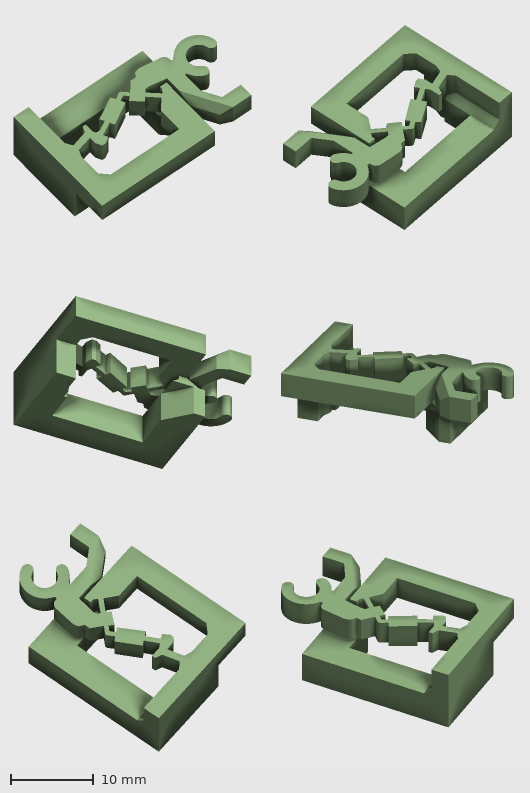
import cadquery as cq
import math

WIDTH = 16.95
LENGTH = 26.07
HEIGHT = 8.0

TIER_THICKNESS = 3.0
CLEARANCE = 1.004
TIER_BOTTOM = HEIGHT - TIER_THICKNESS
BASE_TOP = TIER_BOTTOM - CLEARANCE

BASE_WIDTH = 11.68
BASE_LENGTH = 20.0
BASE_SPINE_WIDTH = 3.73
BASE_WINDOW_FRONT = 3.34
BASE_WINDOW_BACK = 15.5
BASE_BACK_CORNER = 8.68

FRONT_BAR = 2.32
WINDOW_FRONT = 2.63
WINDOW_BACK = 14.36
WINDOW_RIGHT = 14.0
WINDOW_CORNER = 1.1
FRAME_BACK = 17.52
FRAME_LEFT = 7.66

SUPPORT_FRONT = 16.5
SUPPORT_STEP = 4.5
SUPPORT_FOOT_FRONT = 15.65
SUPPORT_FOOT_BACK = 19.15

HOOK_MID_RADIUS = 2.32
HOOK_TIP_RADIUS = 0.73
HOOK_OUTER_RADIUS = HOOK_MID_RADIUS + HOOK_TIP_RADIUS
HOOK_INNER_RADIUS = HOOK_MID_RADIUS - HOOK_TIP_RADIUS
HOOK_X = 7.05
HOOK_START = 102.0
HOOK_END = 334.0
HOOK_Y = LENGTH - HOOK_TIP_RADIUS - HOOK_MID_RADIUS * math.sin(math.radians(HOOK_START))

ARM_FRONT = 17.95
ARM_LEFT = 13.58
ARM_RIGHT = 15.56
ARM_TIP = 24.3
ARM_BEND_X = 11.24
ARM_INNER_BEND_Y = 21.38
ARM_OUTER_BEND = (ARM_RIGHT, 21.45)
ARM_END_CORNER = (14.9, 19.95)
ARM_ANGLE = math.atan2(ARM_INNER_BEND_Y - BASE_LENGTH, ARM_LEFT - ARM_BEND_X)
ARM_UNDERCUT_X = ARM_END_CORNER[0] - (ARM_END_CORNER[1] - ARM_FRONT) / math.tan(ARM_ANGLE)


def prism(points, bottom, top):
    return cq.Workplane("XY").workplane(offset=bottom).polyline(points).close().extrude(top - bottom)


def tier_prism(points):
    """Upright prism filling the upper tier."""
    return prism(points, TIER_BOTTOM, HEIGHT)


def side_prism(profile, left, right):
    """Prism along X from a profile of (Y, Z) points."""
    return cq.Workplane("YZ").workplane(offset=left).polyline(profile).close().extrude(right - left)


def hook_point(radius, angle):
    angle = math.radians(angle)
    return (HOOK_X + radius * math.cos(angle), HOOK_Y + radius * math.sin(angle))


ROOT_LEFT = (7.82, 2.92)
ROOT_RIGHT = (8.75, 3.0)
ROOT_SLOPE_LEFT = (6.85, FRONT_BAR)
ROOT_SLOPE_RIGHT = (9.78, WINDOW_FRONT)
BLOCK_FRONT_LEFT = (7.22, 5.2)
BLOCK_FRONT_RIGHT = (8.2, 5.2)
BLOCK_BACK_LEFT = (8.32, 6.35)
BLOCK_BACK_RIGHT = (8.9, 6.67)
COUPLER_FRONT_LEFT = (7.4, 8.15)
COUPLER_FRONT_RIGHT = (7.98, 8.45)
COUPLER_BACK_LEFT = (5.74, 11.24)
COUPLER_BACK_RIGHT = (6.25, 11.5)
BODY_FRONT_LEFT = (6.05, 13.2)
BODY_FRONT_RIGHT = (6.45, 12.77)
BODY_SIDE_FRONT = (7.7, 14.2)
BODY_SIDE_BACK = (7.22, 14.6)
FRAME_FLEX_FRONT = (9.05, 15.62)
FRAME_FLEX_BACK = (8.6, 16.1)


def base():
    front_bar = [(0, 0), (BASE_WIDTH, 0), (BASE_WIDTH, WINDOW_FRONT), ROOT_SLOPE_RIGHT, ROOT_RIGHT]
    spine_outline = [
        ROOT_LEFT, (ROOT_LEFT[0], BASE_WINDOW_FRONT),
        (BASE_SPINE_WIDTH, BASE_WINDOW_FRONT), (BASE_SPINE_WIDTH, BASE_WINDOW_BACK),
        (BASE_BACK_CORNER, BASE_WINDOW_BACK),
        (BASE_WIDTH, BASE_WINDOW_BACK + BASE_WIDTH - BASE_BACK_CORNER),
        (BASE_WIDTH, BASE_LENGTH), (0, BASE_LENGTH),
    ]
    lower = prism(front_bar + spine_outline, 0, BASE_TOP)
    riser = prism(front_bar + [ROOT_LEFT, ROOT_SLOPE_LEFT, (0, FRONT_BAR)], BASE_TOP, TIER_BOTTOM)
    slope = side_prism(
        [(FRONT_BAR, BASE_TOP), (BASE_WINDOW_FRONT, BASE_TOP), (FRONT_BAR, TIER_BOTTOM)],
        0, ROOT_LEFT[0],
    )
    return lower.union(riser).union(slope)


def support():
    profile = [
        (SUPPORT_FOOT_FRONT, BASE_TOP), (SUPPORT_FOOT_BACK, BASE_TOP),
        (FRAME_BACK, TIER_BOTTOM), (SUPPORT_FRONT, TIER_BOTTOM), (SUPPORT_FRONT, SUPPORT_STEP),
    ]
    return side_prism(profile, FRAME_LEFT, BASE_WIDTH)


def frame():
    return tier_prism([
        (0, 0), (WIDTH, 0), (WIDTH, FRAME_BACK), (FRAME_LEFT, FRAME_BACK),
        (FRAME_LEFT, SUPPORT_FRONT), (8.1, SUPPORT_FRONT), FRAME_FLEX_BACK, FRAME_FLEX_FRONT,
        (10.5, WINDOW_BACK), (WINDOW_RIGHT, WINDOW_BACK),
        (WINDOW_RIGHT, WINDOW_FRONT + WINDOW_CORNER), (WINDOW_RIGHT - WINDOW_CORNER, WINDOW_FRONT),
        ROOT_SLOPE_RIGHT, ROOT_RIGHT, ROOT_LEFT, ROOT_SLOPE_LEFT, (0, FRONT_BAR),
    ])


def linkage():
    """Coupler and pivot block, joined to each other and to the ends by thin flexures."""
    root_flexure = [ROOT_LEFT, ROOT_RIGHT, BLOCK_FRONT_RIGHT, BLOCK_FRONT_LEFT]
    pivot_block = [
        BLOCK_FRONT_LEFT, BLOCK_FRONT_RIGHT, (9.23, 5.2), (10.04, 5.6), (10.04, 6.13), (9.52, 7.0),
        BLOCK_BACK_RIGHT, BLOCK_BACK_LEFT, (7.72, 6.05), (6.35, 6.05), (6.35, 5.55),
    ]
    middle_flexure = [BLOCK_BACK_LEFT, BLOCK_BACK_RIGHT, COUPLER_FRONT_RIGHT, COUPLER_FRONT_LEFT]
    coupler = [
        COUPLER_FRONT_LEFT, COUPLER_FRONT_RIGHT, (8.6, 8.75), (6.85, 11.84),
        COUPLER_BACK_RIGHT, COUPLER_BACK_LEFT, (5.14, 10.85), (6.78, 7.8),
    ]
    bent_flexure = [
        COUPLER_BACK_LEFT, COUPLER_BACK_RIGHT, (5.95, 12.1), (5.95, 12.3),
        BODY_FRONT_RIGHT, BODY_FRONT_LEFT, (5.25, 12.35), (5.25, 12.1),
    ]
    frame_flexure = [BODY_SIDE_BACK, BODY_SIDE_FRONT, FRAME_FLEX_FRONT, FRAME_FLEX_BACK]
    solid = tier_prism(root_flexure)
    for outline in (pivot_block, middle_flexure, coupler, bent_flexure, frame_flexure):
        solid = solid.union(tier_prism(outline))
    return solid


def body():
    """Moving body with a rounded shoulder and hip on its left side."""
    outline = (
        cq.Workplane("XY").workplane(offset=TIER_BOTTOM)
        .moveTo(*BODY_FRONT_LEFT)
        .lineTo(*BODY_FRONT_RIGHT)
        .lineTo(6.95, 12.28)
        .lineTo(8.2, 13.7)
        .lineTo(*BODY_SIDE_FRONT)
        .lineTo(*BODY_SIDE_BACK)
        .lineTo(6.8, 15.0)
        .lineTo(6.8, 15.5)
        .lineTo(7.25, ARM_FRONT)
        .lineTo(8.15, ARM_FRONT)
        .lineTo(8.15, 20.33)
        .lineTo(5.53, 20.5)
        .lineTo(5.6, 20.28)
        .lineTo(5.47, BASE_LENGTH)
        .lineTo(5.14, BASE_LENGTH)
        .threePointArc((4.65, 19.75), (4.38, 19.27))
        .lineTo(4.0, 16.5)
        .threePointArc((4.0, 15.98), (4.2, 15.45))
        .lineTo(4.75, 15.1)
        .lineTo(4.75, 14.5)
        .lineTo(4.67, 14.4)
        .close()
    )
    return outline.extrude(TIER_THICKNESS)


def hook():
    """Open ring with round tips."""
    middle = (HOOK_START + HOOK_END) / 2
    ring = (
        cq.Workplane("XY").workplane(offset=TIER_BOTTOM)
        .moveTo(*hook_point(HOOK_OUTER_RADIUS, HOOK_START))
        .threePointArc(hook_point(HOOK_OUTER_RADIUS, middle), hook_point(HOOK_OUTER_RADIUS, HOOK_END))
        .lineTo(*hook_point(HOOK_INNER_RADIUS, HOOK_END))
        .threePointArc(hook_point(HOOK_INNER_RADIUS, middle), hook_point(HOOK_INNER_RADIUS, HOOK_START))
        .close()
        .extrude(TIER_THICKNESS)
    )
    tips = (
        cq.Workplane("XY").workplane(offset=TIER_BOTTOM)
        .pushPoints([hook_point(HOOK_MID_RADIUS, angle) for angle in (HOOK_START, HOOK_END)])
        .circle(HOOK_TIP_RADIUS)
        .extrude(TIER_THICKNESS)
    )
    return ring.union(tips)


def arm():
    """Bent pointer arm with its top edge bevelled at 45 degrees along the oblique stretch."""
    solid = tier_prism([
        (7.25, ARM_FRONT), (ARM_UNDERCUT_X, ARM_FRONT), ARM_END_CORNER, ARM_OUTER_BEND,
        (ARM_RIGHT, ARM_TIP), (ARM_LEFT, ARM_TIP), (ARM_LEFT, ARM_INNER_BEND_Y),
        (ARM_BEND_X, BASE_LENGTH), (7.25, BASE_LENGTH),
    ])
    along = cq.Vector(-math.cos(ARM_ANGLE), -math.sin(ARM_ANGLE), 0)
    outward = cq.Vector(math.sin(ARM_ANGLE), -math.cos(ARM_ANGLE), 0)
    start = cq.Vector(*ARM_OUTER_BEND, HEIGHT) - along * LENGTH / 2
    section = cq.Workplane(cq.Plane(origin=start, xDir=outward, normal=along))
    reach = 2 * CLEARANCE
    bevel = section.polyline([(0, 0), (reach, 0), (reach, -reach)]).close().extrude(LENGTH)
    return solid.cut(bevel)


result = base()
for piece in (support(), frame(), linkage(), body(), hook(), arm()):
    result = result.union(piece)
result = result.clean()